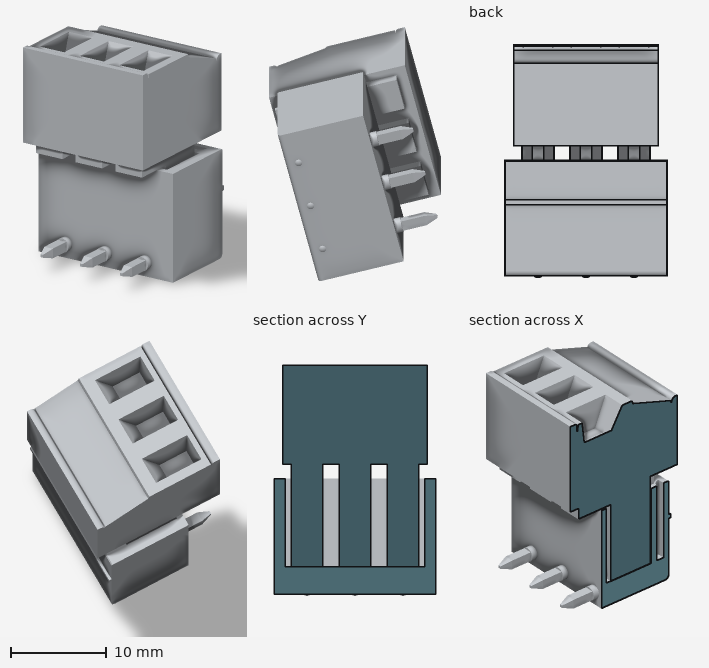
import cadquery as cq

POLES = 3
PITCH = 5.0
POLE_XS = [(i - (POLES - 1) / 2) * PITCH for i in range(POLES)]

HEADER_WIDTH = 16.95
HEADER_DEPTH = 9.21
HEADER_HEIGHT = 12.1
HEADER_BOTTOM_RADIUS = 0.5
HEADER_TOP_CHAMFER = 0.12
RIDGE_OUT = 0.3
RIDGE_HEIGHT = 0.53
RIDGE_BOTTOM = 7.41

CAVITY_WIDTH = 14.5
CAVITY_FRONT = 0.7
CAVITY_BACK = 6.73
CAVITY_FLOOR = 2.92

KEYWAY_X = 6.22
KEYWAY_RADIUS = 0.85
KEYWAY_BACK = 8.44

PIN_SIDE = 1.07
PIN_Z = 1.58
PIN_LENGTH = 4.52
PIN_TAPER = 1.26
PIN_TIP_SIDE = 0.32
COLLAR_RADIUS = 0.78
COLLAR_LENGTH = 0.7

DOME_RADIUS = 0.36
DOME_DROP = 0.15
DOME_Y = 7.85

PLUG_WIDTH = 15.1
PLUG_FRONT = -4.25
PLUG_BACK = 10.38
PLUG_BOTTOM = 13.6
OVERALL_HEIGHT = 24.3
PLUG_TOP = OVERALL_HEIGHT - DOME_DROP
DECK_DROP = 0.2
DECK_Z = PLUG_TOP - DECK_DROP

REAR_LIP_FLAT = 0.3
REAR_LIP_RADIUS = 0.55
REAR_LIP_Z = 22.2
GROOVE_WIDTH = 0.1
SLOPE_START_Z = 21.88
SLOPE_END_Y = 4.33
SLOPE_END_Z = 23.58
STEP_RUN = 0.15

FRONT_LIP_FLAT = 0.68
FRONT_LIP_RADIUS = 0.25
SLOT_WIDTH = 0.15
SLOT_BOTTOM_Z = 22.95

FUNNEL_TOP_WIDTH = 3.06
FUNNEL_TOP_FRONT = -2.6
FUNNEL_TOP_BACK = 2.82
FUNNEL_FLOOR_WIDTH = 2.1
FUNNEL_FLOOR_FRONT = -2.24
FUNNEL_FLOOR_BACK = 0.97
FUNNEL_DEPTH = 3.15

TONGUE_WIDTH = 3.35
TONGUE_FRONT = -3.14
TONGUE_STEP_Y = 1.25
TONGUE_STEP_Z = 12.28
TONGUE_BACK = 6.69
RIB_WIDTH = 1.22
RIB_BACK = 7.58


def box(width, front, back, bottom, top, x=0):
    """Block centred on x in X, between the given Y and Z limits."""
    block = cq.Workplane("XY").box(width, back - front, top - bottom, centered=(True, False, False))
    return block.translate((x, front, bottom))


def solder_pin(x):
    """Round collar, square shank and tapered tip, pointing toward -Y."""
    shank_end = PIN_LENGTH - PIN_TAPER
    base = cq.Workplane("XZ", origin=(x, 0, PIN_Z))
    collar = base.circle(COLLAR_RADIUS).extrude(COLLAR_LENGTH)
    shank = base.rect(PIN_SIDE, PIN_SIDE).extrude(shank_end)
    tip = (
        base.workplane(offset=shank_end)
        .rect(PIN_SIDE, PIN_SIDE)
        .workplane(offset=PIN_TAPER)
        .rect(PIN_TIP_SIDE, PIN_TIP_SIDE)
        .loft(ruled=True)
    )
    return collar.union(shank).union(tip)


def dome(x):
    """Shallow spherical cap hanging below the header underside."""
    sphere_radius = (DOME_RADIUS**2 + DOME_DROP**2) / (2 * DOME_DROP)
    return (
        cq.Workplane("XZ", origin=(x, DOME_Y, 0))
        .moveTo(0, 0)
        .lineTo(0, -DOME_DROP)
        .radiusArc((DOME_RADIUS, 0), -sphere_radius)
        .close()
        .revolve(360, (0, 0, 0), (0, 1, 0))
    )


def keyway(x):
    """Blind half-round hole with a straight back wall."""
    return (
        cq.Workplane("XY", origin=(x, KEYWAY_BACK, CAVITY_FLOOR))
        .moveTo(-KEYWAY_RADIUS, 0)
        .threePointArc((0, -KEYWAY_RADIUS), (KEYWAY_RADIUS, 0))
        .close()
        .extrude(HEADER_HEIGHT - CAVITY_FLOOR)
    )


def rib_notch(x):
    """Notch in the cavity's back wall that takes a tongue's rib."""
    return box(RIB_WIDTH, CAVITY_BACK, RIB_BACK, CAVITY_FLOOR, HEADER_HEIGHT, x)


def make_header():
    block = box(HEADER_WIDTH, 0, HEADER_DEPTH, 0, HEADER_HEIGHT)
    block = block.edges("|X and >Y and <Z").fillet(HEADER_BOTTOM_RADIUS)
    block = block.edges("|X and >Y and >Z").chamfer(HEADER_TOP_CHAMFER)
    ridge_top = RIDGE_BOTTOM + RIDGE_HEIGHT
    block = block.union(box(HEADER_WIDTH, HEADER_DEPTH, HEADER_DEPTH + RIDGE_OUT, RIDGE_BOTTOM, ridge_top))
    block = block.cut(box(CAVITY_WIDTH, CAVITY_FRONT, CAVITY_BACK, CAVITY_FLOOR, HEADER_HEIGHT))
    for x in (-KEYWAY_X, KEYWAY_X):
        block = block.cut(keyway(x))
    for x in POLE_XS:
        block = block.cut(rib_notch(x))
        block = block.union(solder_pin(x)).union(dome(x))
    return block


def plug_block():
    """Side outline in the YZ plane, extruded through the full plug width."""
    groove_y = PLUG_BACK - REAR_LIP_FLAT - REAR_LIP_RADIUS
    groove_z = REAR_LIP_Z - REAR_LIP_RADIUS
    slot_front = PLUG_FRONT + FRONT_LIP_FLAT + FRONT_LIP_RADIUS
    return (
        cq.Workplane("YZ", origin=(-PLUG_WIDTH / 2, 0, 0))
        .moveTo(PLUG_FRONT, PLUG_BOTTOM)
        .lineTo(PLUG_BACK, PLUG_BOTTOM)
        .lineTo(PLUG_BACK, REAR_LIP_Z)
        .lineTo(PLUG_BACK - REAR_LIP_FLAT, REAR_LIP_Z)
        .radiusArc((groove_y, groove_z), -REAR_LIP_RADIUS)
        .lineTo(groove_y - GROOVE_WIDTH, SLOPE_START_Z)
        .lineTo(SLOPE_END_Y, SLOPE_END_Z)
        .lineTo(SLOPE_END_Y - STEP_RUN, DECK_Z)
        .lineTo(slot_front + SLOT_WIDTH, DECK_Z)
        .lineTo(slot_front, SLOT_BOTTOM_Z)
        .lineTo(slot_front, PLUG_TOP - FRONT_LIP_RADIUS)
        .radiusArc((PLUG_FRONT + FRONT_LIP_FLAT, PLUG_TOP), -FRONT_LIP_RADIUS)
        .lineTo(PLUG_FRONT, PLUG_TOP)
        .close()
        .extrude(PLUG_WIDTH)
    )


def wire_funnel(x):
    """Tapered pocket whose back wall leans forward on the way down."""
    top_middle = (FUNNEL_TOP_FRONT + FUNNEL_TOP_BACK) / 2
    floor_middle = (FUNNEL_FLOOR_FRONT + FUNNEL_FLOOR_BACK) / 2
    return (
        cq.Workplane("XY", origin=(x, top_middle, DECK_Z))
        .rect(FUNNEL_TOP_WIDTH, FUNNEL_TOP_BACK - FUNNEL_TOP_FRONT)
        .workplane(offset=-FUNNEL_DEPTH)
        .center(0, floor_middle - top_middle)
        .rect(FUNNEL_FLOOR_WIDTH, FUNNEL_FLOOR_BACK - FUNNEL_FLOOR_FRONT)
        .loft(ruled=True)
    )


def tongue(x):
    """Tongue that overhangs the header at the front and stands on the cavity floor at the back."""
    overhang = box(TONGUE_WIDTH, TONGUE_FRONT, TONGUE_BACK, TONGUE_STEP_Z, PLUG_BOTTOM, x)
    leg = box(TONGUE_WIDTH, TONGUE_STEP_Y, TONGUE_BACK, CAVITY_FLOOR, PLUG_BOTTOM, x)
    rib = box(RIB_WIDTH, TONGUE_BACK, RIB_BACK, CAVITY_FLOOR, PLUG_BOTTOM, x)
    return overhang.union(leg).union(rib)


def make_plug():
    plug = plug_block()
    for x in POLE_XS:
        plug = plug.cut(wire_funnel(x)).union(tongue(x))
    return plug


header = make_header()
plug = make_plug()
result = cq.Compound.makeCompound([header.val(), plug.val()])